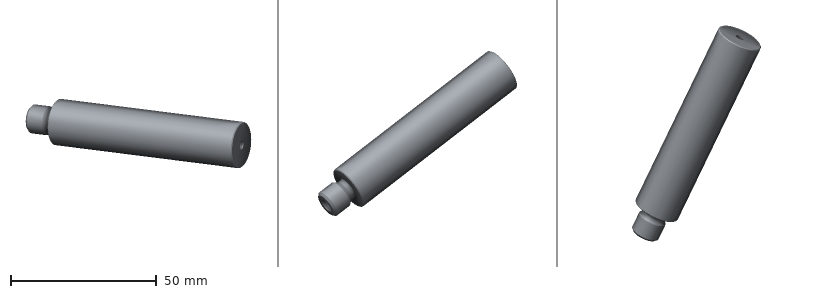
import cadquery as cq
import math

total_length = 80.0
body_radius = 8.0
body_chamfer = 0.3

stud_length = 10.0
stud_diameter = 10.0
stud_chamfer = 0.8

neck_radius = 3.8
neck_fillet = 0.5
relief_start = 6.6
relief_angle = 38.0
relief_fillet = 0.5

bore_diameter = 3.0
countersink_diameter = 5.1
countersink_angle = 60.0

stud_radius = stud_diameter / 2
bore_radius = bore_diameter / 2
countersink_radius = countersink_diameter / 2


def outer_profile():
    """Half section of the solid, in axial position and radius."""
    angle = math.radians(relief_angle)
    corner_x = relief_start + (stud_radius - neck_radius) / math.tan(angle)
    tangent_length = relief_fillet * math.tan(angle / 2)

    arc_end_x = corner_x + tangent_length
    arc_start = (
        corner_x - tangent_length * math.cos(angle),
        neck_radius + tangent_length * math.sin(angle),
    )
    arc_middle = (
        arc_end_x - relief_fillet * math.sin(angle / 2),
        neck_radius + relief_fillet * (1 - math.cos(angle / 2)),
    )
    shoulder_arc_middle = (
        stud_length - neck_fillet * (1 - math.sin(math.pi / 4)),
        neck_radius + neck_fillet * (1 - math.cos(math.pi / 4)),
    )

    return (
        cq.Workplane("XY")
        .moveTo(0, 0)
        .lineTo(0, stud_radius - stud_chamfer)
        .lineTo(stud_chamfer, stud_radius)
        .lineTo(relief_start, stud_radius)
        .lineTo(*arc_start)
        .threePointArc(arc_middle, (arc_end_x, neck_radius))
        .lineTo(stud_length - neck_fillet, neck_radius)
        .threePointArc(shoulder_arc_middle, (stud_length, neck_radius + neck_fillet))
        .lineTo(stud_length, body_radius - body_chamfer)
        .lineTo(stud_length + body_chamfer, body_radius)
        .lineTo(total_length - body_chamfer, body_radius)
        .lineTo(total_length, body_radius - body_chamfer)
        .lineTo(total_length, 0)
        .close()
    )


def bore_profile():
    """Half section of the through bore with its countersink in the stud end."""
    half_angle = math.radians(countersink_angle / 2)
    countersink_depth = (countersink_radius - bore_radius) / math.tan(half_angle)
    return (
        cq.Workplane("XY")
        .moveTo(0, 0)
        .lineTo(0, countersink_radius)
        .lineTo(countersink_depth, bore_radius)
        .lineTo(total_length, bore_radius)
        .lineTo(total_length, 0)
        .close()
    )


def turn(profile):
    """Revolve a half section about the X axis."""
    return profile.revolve(360, (0, 0, 0), (1, 0, 0))


result = turn(outer_profile()).cut(turn(bore_profile()))